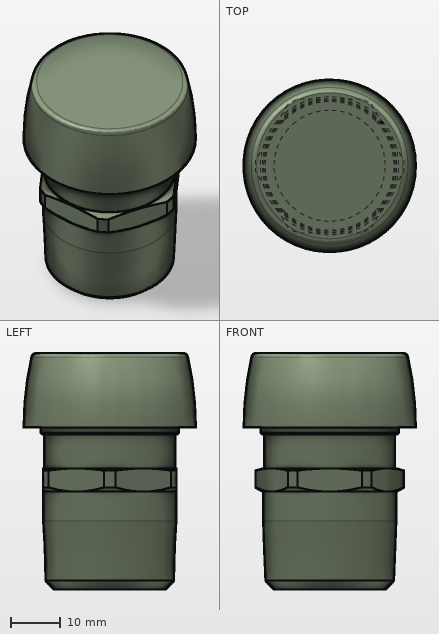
import cadquery as cq
import math

total_height = 48.0
nose_top = 1.8
taper_top = 13.95
hex_bottom = 19.85
hex_top = 24.6
collar_bottom = 31.5
cap_bottom = 32.95

nose_radius = 11.3
taper_small_radius = 13.05
body_radius = 13.55
neck_radius = 13.3
collar_radius = 14.0
collar_chamfer = 0.4
cap_diameter = 35.0
cap_radius = cap_diameter / 2
cap_top_radius = 15.7
cap_edge_fillet = 1.1

hex_across_flats = 27.15
hex_corner_radius = 15.05
hex_lower_bevel = 0.85
hex_upper_bevel = 0.45


def make_stem():
    """Turned stem: chamfered nose, tapered end, cylinder, neck and collar."""
    return (
        cq.Workplane("XZ")
        .lineTo(nose_radius, 0)
        .lineTo(taper_small_radius, nose_top)
        .lineTo(body_radius, taper_top)
        .lineTo(body_radius, hex_bottom)
        .lineTo(neck_radius, hex_bottom)
        .lineTo(neck_radius, collar_bottom)
        .lineTo(collar_radius - collar_chamfer, collar_bottom)
        .lineTo(collar_radius, collar_bottom + collar_chamfer)
        .lineTo(collar_radius, cap_bottom)
        .lineTo(0, cap_bottom)
        .close()
        .revolve(360, (0, 0), (0, 1))
    )


def make_hexagon():
    """Hexagon trimmed to a turned blank that rounds and bevels its corners."""
    flat_radius = hex_across_flats / 2
    prism = (
        cq.Workplane("XY", origin=(0, 0, hex_bottom))
        .polygon(6, hex_across_flats / math.cos(math.pi / 6))
        .extrude(hex_top - hex_bottom)
    )
    blank = (
        cq.Workplane("XZ")
        .moveTo(0, hex_bottom)
        .lineTo(flat_radius, hex_bottom)
        .lineTo(hex_corner_radius, hex_bottom + hex_lower_bevel)
        .lineTo(hex_corner_radius, hex_top - hex_upper_bevel)
        .lineTo(flat_radius, hex_top)
        .lineTo(0, hex_top)
        .close()
        .revolve(360, (0, 0), (0, 1))
    )
    return prism.intersect(blank)


def cap_side_midpoint():
    """Middle of the side arc, whose centre lies level with the cap's lower rim."""
    height = total_height - cap_bottom
    inset = cap_radius - cap_top_radius
    arc_radius = (height**2 + inset**2) / (2 * inset)
    half_angle = math.asin(height / arc_radius) / 2
    radius = cap_radius - arc_radius * (1 - math.cos(half_angle))
    return radius, cap_bottom + arc_radius * math.sin(half_angle)


def make_cap():
    """Domed-side cap, vertical at its lower rim and rounded at its top edge."""
    return (
        cq.Workplane("XZ")
        .moveTo(0, cap_bottom)
        .lineTo(cap_radius, cap_bottom)
        .threePointArc(cap_side_midpoint(), (cap_top_radius, total_height))
        .lineTo(0, total_height)
        .close()
        .revolve(360, (0, 0), (0, 1))
        .faces(">Z")
        .edges()
        .fillet(cap_edge_fillet)
    )


result = make_stem().union(make_hexagon()).union(make_cap())